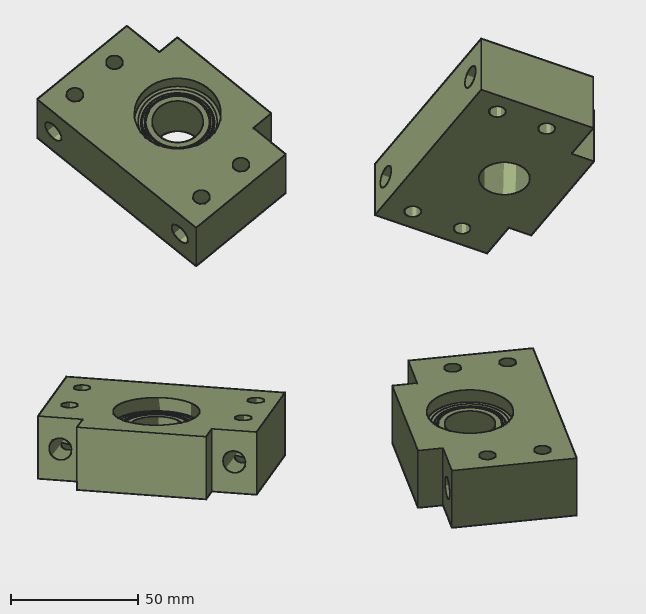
import cadquery as cq

block_width = 88.0
block_depth = 60.0
block_height = 26.0
step_width = 52.0
shoulder_depth = 50.0

bore_center_y = 34.0

hole_spacing_x = 70.0
vertical_hole_diameter = 6.6
vertical_hole_rows_y = (12.0, bore_center_y)
cross_hole_diameter = 9.0

bore_diameter = 20.0
counterbore_diameter = 34.0
counterbore_depth = 5.5

outer_groove_top_diameter = 31.0
outer_groove_floor_diameter = 29.0
outer_groove_inner_diameter = 27.8
outer_groove_depth = 1.0

inner_groove_outer_diameter = 26.0
inner_groove_inner_diameter = 25.0
inner_groove_depth = 1.0

seat_z = block_height - counterbore_depth


def make_block():
    """T-shaped block resting on Z = 0 with its front face on Y = 0."""
    base = cq.Workplane("XY").box(block_width, shoulder_depth, block_height, centered=(True, False, False))
    step = cq.Workplane("XY").box(step_width, block_depth, block_height, centered=(True, False, False))
    return base.union(step)


def make_mounting_holes():
    """Four through holes along Z and two through holes along Y."""
    columns_x = (-hole_spacing_x / 2, hole_spacing_x / 2)
    vertical_points = [(x, y) for x in columns_x for y in vertical_hole_rows_y]
    vertical = (
        cq.Workplane("XY")
        .pushPoints(vertical_points)
        .circle(vertical_hole_diameter / 2)
        .extrude(block_height)
    )
    cross = (
        cq.Workplane("XZ")
        .pushPoints([(x, block_height / 2) for x in columns_x])
        .circle(cross_hole_diameter / 2)
        .extrude(-shoulder_depth)
    )
    return vertical.union(cross)


def make_bore():
    """Through bore with a counterbore opening at the top face."""
    bore = cq.Workplane("XY").center(0, bore_center_y).circle(bore_diameter / 2).extrude(block_height)
    counterbore = (
        cq.Workplane("XY", origin=(0, bore_center_y, seat_z))
        .circle(counterbore_diameter / 2)
        .extrude(counterbore_depth)
    )
    return bore.union(counterbore)


def make_groove(top_diameter, floor_diameter, inner_diameter, depth):
    """Ring cut below the seat; its outer wall runs from the top to the floor diameter."""
    floor_z = seat_z - depth
    profile = [
        (inner_diameter / 2, seat_z),
        (top_diameter / 2, seat_z),
        (floor_diameter / 2, floor_z),
        (inner_diameter / 2, floor_z),
    ]
    ring = cq.Workplane("XZ").polyline(profile).close().revolve(360, (0, 0, 0), (0, 1, 0))
    return ring.translate((0, bore_center_y, 0))


outer_groove = make_groove(
    outer_groove_top_diameter,
    outer_groove_floor_diameter,
    outer_groove_inner_diameter,
    outer_groove_depth,
)
inner_groove = make_groove(
    inner_groove_outer_diameter,
    inner_groove_outer_diameter,
    inner_groove_inner_diameter,
    inner_groove_depth,
)

result = (
    make_block()
    .cut(make_mounting_holes())
    .cut(make_bore())
    .cut(outer_groove)
    .cut(inner_groove)
)